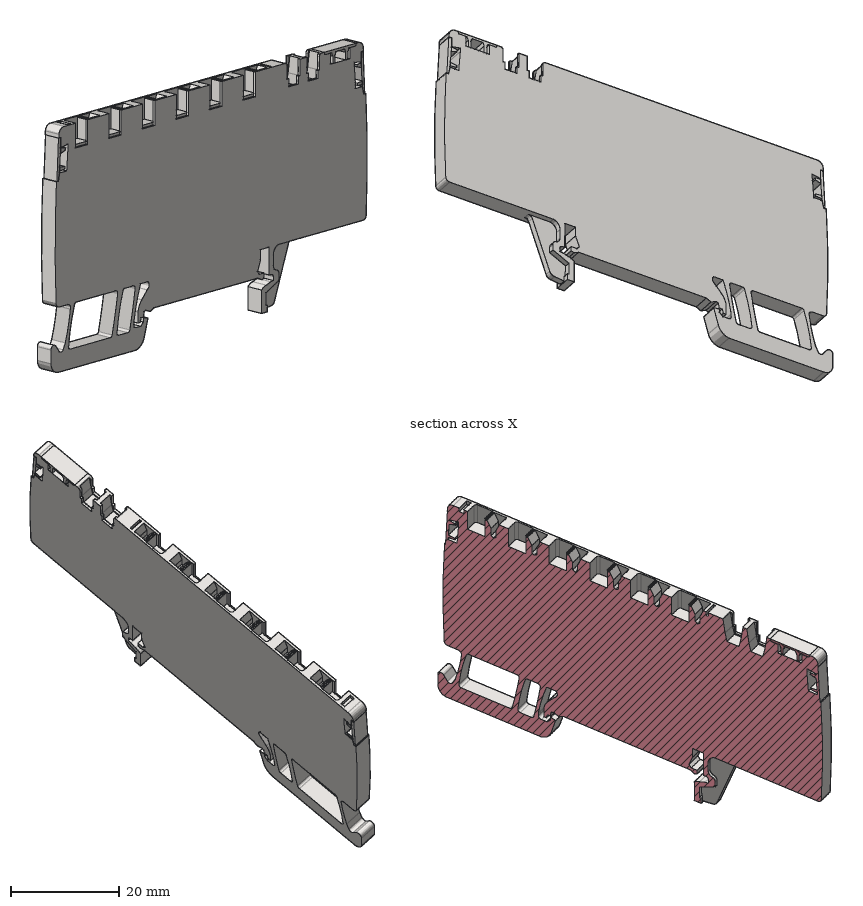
import cadquery as cq
thickness = 3.5
top_z = 46.9
block_bottom_z = 12.5
block_center_y = 0.55

block_half_top = 40.85
block_half_middle = 41.95
block_half_bottom = 41.7
block_middle_z = 28.9
top_corner_radius = 1.4
bottom_corner_radius = 0.85

saddle_bottom_z = 7.15
saddle_hook_side_y = 13.9
lip_depth = 0.5

hook_web_thickness = 1.3
hook_tip_y = 14.1

foot_end_y = -42.55
foot_floor_z = 3.8
window_corner_radius = 0.5
window_near_bow = 0.1
window_far_bow = -0.25

notch_pitch = 5.3
first_notch_y = 28.0
notch_width = 2.55
notch_mouth_width = 3.4
notch_floor_z = 42.2
notch_step_z = 43.7
notch_wall = 0.5
cavity_top_width = 4.3
cavity_step_width = 3.4
cavity_extra_depth = 0.3
notch_mouth_radius = 0.6

terminal_count = 6
terminal_pitch = 9.0
first_terminal_y = 9.2
entry_length = 3.75
entry_depth = 4.25
entry_wall = 0.38
entry_corner_radius = 0.5
ledge_width = 0.47
ledge_drop = 0.5
rib_length = 0.5
clamp_width = 2.5
clamp_gap = 0.5
clamp_length = 2.7
clamp_funnel_depth = 1.7
clamp_slot_length = 1.0
clamp_depth = 3.4
clamp_vee_depth = 0.3
clamp_slot_offset = 0.1
dimple_offset = 4.0
dimple_length = 0.3
dimple_depth = 0.25
start_slot_y = 17.0
start_slot_length = 0.4
end_slot_y = -37.3
end_slot_length = 0.9
test_slot_depth = 0.85

tag_center_y = 35.3
tag_half_length = 4.3
tag_thickness = 0.5
tag_end_slant = 0.25
tag_window_length = 5.2
tag_window_floor_z = 44.25
tag_leg_spacing = 3.5
tag_leg_half = 0.3
tag_leg_head_half = 0.6
tag_leg_head_height = 0.7
side_tag_recess = 0.1
side_tag_top_z = 44.9
side_tag_bottom_z = 36.7
side_window = [(40.4, 43.0), (38.55, 43.3), (38.55, 42.55), (38.9, 38.2), (40.8, 38.2)]
side_upper_prong = [(40.5, 42.9), (39.2, 42.7), (39.2, 42.3), (40.5, 41.9)]
side_lower_prong = [(40.8, 39.3), (39.3, 39.1), (39.3, 38.7), (40.8, 38.55)]
side_strip = [
    (41.2, side_tag_top_z),
    (40.4, side_tag_top_z),
    (40.4, 42.9),
    (40.8, 38.2),
    (41.1, side_tag_bottom_z),
    (42.0, side_tag_bottom_z),
]
side_strip_core = [
    (41.0, side_tag_top_z),
    (40.0, side_tag_top_z),
    (40.0, side_tag_bottom_z),
    (41.4, side_tag_bottom_z),
]


def across(outline, depth=thickness):
    """Extrude a closed YZ outline equally to both sides of the middle plane."""
    return outline.extrude(depth / 2, both=True)


def prism(points, depth=thickness):
    """Extrude a polygon of (y, z) points equally to both sides of the middle plane."""
    return across(cq.Workplane("YZ").polyline(points).close(), depth)


def box(x_min, x_max, y_min, y_max, z_min, z_max):
    """Axis-aligned box between two opposite corners."""
    size = (x_max - x_min, y_max - y_min, z_max - z_min)
    return cq.Workplane("XY").box(*size, centered=False).translate((x_min, y_min, z_min))


def round_corners(solid, corners, radius):
    """Round the edges that run along X through the given (y, z) corners."""
    reach = 0.04
    for y, z in corners:
        low = (-thickness, y - reach, z - reach)
        high = (thickness, y + reach, z + reach)
        solid = solid.edges(cq.selectors.BoxSelector(low, high)).fillet(radius)
    return solid


def make_block():
    y_top = block_half_top
    y_bottom = block_half_bottom
    outline = (
        cq.Workplane("YZ", origin=(0, block_center_y, 0))
        .moveTo(-y_bottom, block_bottom_z)
        .lineTo(y_bottom, block_bottom_z)
        .threePointArc((block_half_middle, block_middle_z), (y_top, top_z))
        .lineTo(-y_top, top_z)
        .threePointArc((-block_half_middle, block_middle_z), (-y_bottom, block_bottom_z))
        .close()
    )
    block = across(outline)
    block = block.edges("|X and >Z").fillet(top_corner_radius)
    return block.edges("|X and <Z").fillet(bottom_corner_radius)


def make_saddle():
    """Rail seat with a lip at the hook end and a down-turned claw at the foot end."""
    lip_z = saddle_bottom_z - lip_depth
    outline = (
        cq.Workplane("YZ")
        .moveTo(saddle_hook_side_y, block_bottom_z)
        .lineTo(saddle_hook_side_y, 10.55)
        .lineTo(13.0, 8.4)
        .lineTo(13.5, 7.8)
        .lineTo(14.8, 7.8)
        .lineTo(14.8, 6.9)
        .lineTo(14.2, lip_z)
        .lineTo(13.2, saddle_bottom_z)
        .lineTo(-14.8, saddle_bottom_z)
        .lineTo(-15.8, lip_z)
        .lineTo(-16.9, saddle_bottom_z)
        .lineTo(-17.45, 7.0)
        .lineTo(-17.6, 5.95)
        .lineTo(-18.3, 5.95)
        .lineTo(-18.55, 5.1)
        .lineTo(-19.15, 5.1)
        .lineTo(-19.15, 7.2)
        .threePointArc((-18.8, 8.3), (-18.1, 9.4))
        .lineTo(-16.7, 11.0)
        .threePointArc((-16.2, 11.7), (-16.4, block_bottom_z))
        .close()
    )
    return across(outline)


def make_hook():
    rim_outline = (
        cq.Workplane("YZ")
        .moveTo(18.7, block_bottom_z)
        .threePointArc((17.7, 11.9), (17.3, 10.7))
        .lineTo(17.3, 8.8)
        .threePointArc((17.5, 8.1), (18.0, 7.75))
        .threePointArc((18.6, 7.4), (18.8, 6.8))
        .lineTo(18.8, 5.6)
        .lineTo(15.3, 3.9)
        .lineTo(15.3, 1.5)
        .lineTo(15.65, 1.45)
        .lineTo(15.65, 0.2)
        .lineTo(hook_tip_y, 0.2)
        .lineTo(hook_tip_y, 4.7)
        .threePointArc((14.6, 5.1), (15.4, 5.4))
        .lineTo(16.6, 5.8)
        .lineTo(17.3, 5.9)
        .lineTo(17.3, 6.6)
        .threePointArc((17.1, 7.0), (16.8, saddle_bottom_z))
        .lineTo(16.2, saddle_bottom_z)
        .lineTo(16.2, block_bottom_z)
        .close()
    )
    web_outline = (
        cq.Workplane("YZ")
        .moveTo(23.5, block_bottom_z)
        .threePointArc((23.0, 12.3), (22.6, 11.9))
        .lineTo(18.8, 1.45)
        .threePointArc((18.5, 0.9), (17.8, 0.7))
        .lineTo(15.6, 0.4)
        .lineTo(15.3, 3.9)
        .lineTo(18.8, 5.6)
        .lineTo(16.8, 8.1)
        .lineTo(16.8, block_bottom_z)
        .close()
    )
    return across(rim_outline).union(across(web_outline, hook_web_thickness))


def foot_window(top_right_y, top_left_y, bottom_left_y, bottom_right_y):
    """Opening between two curved foot arms."""
    middle_z = (block_bottom_z + foot_floor_z) / 2
    left_middle_y = (top_left_y + bottom_left_y) / 2 + window_far_bow
    right_middle_y = (top_right_y + bottom_right_y) / 2 + window_near_bow
    outline = (
        cq.Workplane("YZ")
        .moveTo(top_right_y, block_bottom_z)
        .lineTo(top_left_y, block_bottom_z)
        .threePointArc((left_middle_y, middle_z), (bottom_left_y, foot_floor_z))
        .lineTo(bottom_right_y, foot_floor_z)
        .threePointArc((right_middle_y, middle_z), (top_right_y, block_bottom_z))
        .close()
    )
    return across(outline).edges("|X").fillet(window_corner_radius)


def make_foot():
    outline = (
        cq.Workplane("YZ")
        .moveTo(-18.5, block_bottom_z)
        .threePointArc((-19.65, 8.5), (-20.25, 5.5))
        .lineTo(-20.25, 5.0)
        .threePointArc((-20.1, 4.5), (-19.6, 4.3))
        .lineTo(-18.4, 4.3)
        .lineTo(-17.7, 5.0)
        .lineTo(-17.6, 5.8)
        .lineTo(-16.4, 5.5)
        .lineTo(-17.45, 2.0)
        .threePointArc((-18.3, 0.7), (-19.7, 0))
        .lineTo(-40.5, 0)
        .threePointArc((-41.95, 0.6), (foot_end_y, 2.0))
        .lineTo(foot_end_y, 4.7)
        .threePointArc((-41.95, 5.45), (-41.2, 5.1))
        .lineTo(-40.3, 4.0)
        .threePointArc((-39.8, 3.75), (-39.3, 4.1))
        .lineTo(-38.7, 5.3)
        .threePointArc((-37.9, 8.5), (-37.35, 11.5))
        .threePointArc((-37.4, 12.2), (-37.95, block_bottom_z))
        .close()
    )
    foot = across(outline)
    foot = foot.cut(foot_window(-19.8, -23.1, -24.85, -21.45))
    return foot.cut(foot_window(-24.5, -36.1, -37.9, -26.2))


def notch_opening(center_y):
    """Stepped bridge notch through the whole thickness."""
    half = notch_width / 2
    mouth = notch_mouth_width / 2
    return prism(
        [
            (center_y - half, notch_floor_z),
            (center_y + half, notch_floor_z),
            (center_y + half, notch_step_z),
            (center_y + mouth, notch_step_z),
            (center_y + mouth, top_z),
            (center_y - mouth, top_z),
            (center_y - mouth, notch_step_z),
            (center_y - half, notch_step_z),
        ]
    )


def notch_cavity(center_y):
    """Tapered cavity that widens and deepens a bridge notch between the two outer walls."""
    half = notch_width / 2
    cavity_floor_z = notch_floor_z - cavity_extra_depth
    cavity_top = cavity_top_width / 2
    cavity_step = cavity_step_width / 2
    return prism(
        [
            (center_y - half, cavity_floor_z),
            (center_y + half, cavity_floor_z),
            (center_y + cavity_step, notch_step_z),
            (center_y + cavity_top, top_z),
            (center_y - cavity_top, top_z),
            (center_y - cavity_step, notch_step_z),
        ],
        thickness - 2 * notch_wall,
    )


def cut_bridge_notches(housing):
    centers = (first_notch_y, first_notch_y - notch_pitch)
    for center_y in centers:
        housing = housing.cut(notch_opening(center_y))
    mouth = notch_mouth_width / 2
    outer_corners = [(centers[0] + mouth, top_z), (centers[1] - mouth, top_z)]
    housing = round_corners(housing, outer_corners, notch_mouth_radius)
    for center_y in centers:
        housing = housing.cut(notch_cavity(center_y))
    return housing


def wire_entry(near_y):
    """Pocket open at the top and toward +X; a lower ledge runs along the open side up to a short rib."""
    side = thickness / 2
    far_y = near_y + entry_length
    floor_z = top_z - entry_depth
    pocket = box(entry_wall - side, side - ledge_width, near_y, far_y, floor_z, top_z)
    pocket = pocket.edges("|Z and <X and <Y").fillet(entry_corner_radius)
    ledge = box(side - ledge_width, side, near_y, far_y - rib_length, floor_z - ledge_drop, top_z)
    return pocket.union(ledge)


def clamp_opening(start_y):
    """Funnel that narrows to a slot with a shallow V-shaped floor."""
    end_y = start_y + clamp_length
    funnel_z = top_z - clamp_funnel_depth
    slot_start = start_y + (clamp_length - clamp_slot_length) / 2 + clamp_slot_offset
    slot_end = slot_start + clamp_slot_length
    return prism(
        [
            (start_y, top_z),
            (slot_start, funnel_z),
            (slot_start, top_z - clamp_depth),
            ((slot_start + slot_end) / 2, top_z - clamp_depth - clamp_vee_depth),
            (slot_end, top_z - clamp_depth),
            (slot_end, funnel_z),
            (end_y, top_z),
        ],
        clamp_width,
    )


def top_slot(center_y, length, depth):
    """Shallow slot across the top, as wide as the clamp openings."""
    half = clamp_width / 2
    return box(-half, half, center_y - length / 2, center_y + length / 2, top_z - depth, top_z)


def cut_terminals(housing):
    for index in range(terminal_count):
        near_y = first_terminal_y - index * terminal_pitch
        housing = housing.cut(wire_entry(near_y))
        housing = housing.cut(clamp_opening(near_y + entry_length + clamp_gap))
        housing = housing.cut(top_slot(near_y + dimple_offset, dimple_length, dimple_depth))
    housing = housing.cut(top_slot(start_slot_y, start_slot_length, test_slot_depth))
    return housing.cut(top_slot(end_slot_y, end_slot_length, test_slot_depth))


def tag_strip():
    """Marker strip lying in the top face, with slanted ends."""
    y = tag_center_y
    short_half = tag_half_length - tag_end_slant
    low_z = top_z - tag_thickness
    return prism(
        [
            (y - tag_half_length, top_z),
            (y + tag_half_length, top_z),
            (y + short_half, low_z),
            (y - short_half, low_z),
        ]
    )


def make_top_tag():
    tag = tag_strip()
    low_z = top_z - tag_thickness
    for side in (-1, 1):
        y = tag_center_y + side * tag_leg_spacing / 2
        leg = prism(
            [
                (y - tag_leg_half, tag_window_floor_z),
                (y + tag_leg_half, tag_window_floor_z),
                (y + tag_leg_half, low_z - tag_leg_head_height),
                (y + tag_leg_head_half, low_z),
                (y - tag_leg_head_half, low_z),
                (y - tag_leg_half, low_z - tag_leg_head_height),
            ]
        )
        tag = tag.union(leg)
    return tag


def tag_seat():
    """Recess and window that receive the top tag."""
    window = box(
        -thickness / 2,
        thickness / 2,
        tag_center_y - tag_window_length / 2,
        tag_center_y + tag_window_length / 2,
        tag_window_floor_z,
        top_z - tag_thickness,
    )
    return tag_strip().union(window)


def add_side_tag(housing, end):
    """Marker strip of one end face: a window with two prongs behind a slightly recessed strip."""

    def placed(points, depth=thickness):
        return prism([(block_center_y + end * y, z) for y, z in points], depth)

    housing = housing.cut(placed(side_window))
    housing = housing.union(placed(side_upper_prong)).union(placed(side_lower_prong))
    core = placed(side_strip_core, thickness - 2 * side_tag_recess)
    return housing.cut(placed(side_strip).cut(core))


def make_housing():
    housing = make_block().union(make_saddle()).union(make_hook()).union(make_foot())
    housing = cut_bridge_notches(housing)
    housing = cut_terminals(housing)
    for end in (-1, 1):
        housing = add_side_tag(housing, end)
    return housing.cut(tag_seat())


housing = make_housing()
top_tag = make_top_tag()
result = cq.Compound.makeCompound([housing.val(), top_tag.val()])